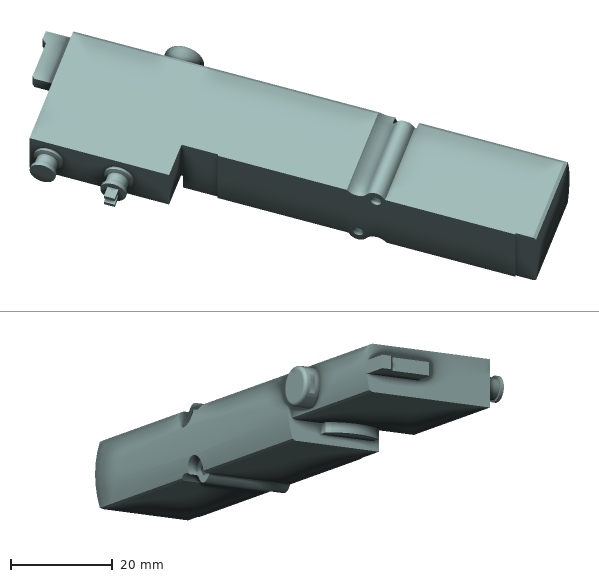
import cadquery as cq
import math

length = 108.5
body_left = 35.3
body_height = 14.0
mid_z = body_height / 2
body_back = 21.4
body_back_edge = 20.3
edge_depth = 0.3
edge_width = 0.7
end_step_depth = 0.3
left_step_end = 42.5
right_step_start = 104.3

lug_x = 75.3
groove_x = 71.6
lug_radius = 2.0
height_over_lugs = 16.7
lug_height = (height_over_lugs - body_height) / 2
groove_depth = 1.0
groove_lip_x = 69.3
screw_hole_dia = 2.3
screw_z = 12.8
screw_head_dia = 5.3
screw_seat_y = 18.7

block_left = 6.0
block_right = 34.9
block_bottom = 4.2
block_front = -7.5
block_back = 20.9
axis_z = (block_bottom + body_height) / 2

connector_x = (10.0, 24.6)
flange_dia = 6.1
flange_length = 0.5
cone_length = 0.3
neck_dia = 4.5
cap_dia = 5.3
cap_start = -10.7
cap_end = -11.5
pin_width = 2.3
pin_thickness = 0.8
pin_spacing = 2.0
pin_end = -13.9

button_x = 27.9
button_dia = 8.1
button_end = 24.3
button_rounding = 0.8
notch_front = 21.9
notch_length = 1.1
notch_offset = 3.6

tab_thickness = 2.7
tab_inner_x = 1.0
tab_front = 9.1
tab_nose_y = 19.0
tab_nose_root_y = 18.0
tab_corner = 0.5

latch_front = 1.6
latch_back = 13.9
latch_bottom = 2.0
latch_top = 4.0
latch_tip_x = 31.4
latch_side_x = 33.2
latch_corner = 0.9
latch_shoulder_x = 32.7


def box(x0, x1, y0, y1, z0, z1):
    return cq.Workplane("XY").box(x1 - x0, y1 - y0, z1 - z0, centered=False).translate((x0, y0, z0))


def rod(x, z, y0, y1, diameter):
    """Cylinder along Y between y0 and y1."""
    return cq.Workplane("XZ", origin=(x, y0, z)).circle(diameter / 2).extrude(y0 - y1)


def crowned_bar(x0, x1, y_front, y_edge, y_crown, z0, z1):
    """Bar along X whose back face bulges from y_edge to y_crown, with bevelled back edges."""
    bevel_y = y_edge - edge_width
    return (
        cq.Workplane("YZ", origin=(x0, 0, 0))
        .moveTo(y_front, z0)
        .lineTo(bevel_y, z0)
        .lineTo(y_edge, z0 + edge_depth)
        .threePointArc((y_crown, (z0 + z1) / 2), (y_edge, z1 - edge_depth))
        .lineTo(bevel_y, z1)
        .lineTo(y_front, z1)
        .close()
        .extrude(x1 - x0)
    )


def half_turn(shape):
    """Turn a shape half a turn about the Y-parallel axis midway between lug and groove."""
    centre_x = (lug_x + groove_x) / 2
    return shape.rotate((centre_x, 0, mid_z), (centre_x, 1, mid_z), 180)


lug_z = body_height + lug_height - lug_radius
groove_z = body_height - groove_depth + lug_radius
span_x = lug_x - groove_x
span_z = groove_z - lug_z
flank_normal = math.atan2(span_z, span_x) + math.acos(2 * lug_radius / math.hypot(span_x, span_z))
tangent_x = lug_radius * math.cos(flank_normal)
tangent_z = lug_radius * math.sin(flank_normal)
lug_foot_x = lug_x + (lug_radius + (lug_z - body_height) * math.sin(flank_normal)) / math.cos(flank_normal)


def lug_bar():
    """Lug rounded on top, reaching down into the body."""
    return (
        cq.Workplane("XZ")
        .moveTo(groove_x + tangent_x, groove_z - tangent_z)
        .lineTo(lug_x - tangent_x, lug_z + tangent_z)
        .threePointArc((lug_x, lug_z + lug_radius), (lug_x + tangent_x, lug_z + tangent_z))
        .lineTo(lug_foot_x, body_height)
        .lineTo(lug_foot_x, groove_z - tangent_z)
        .close()
        .extrude(-body_back)
    )


def groove_cut():
    """Shallow hollow: one arc from its lip to the foot of the lug's flank."""
    return (
        cq.Workplane("XZ")
        .moveTo(groove_lip_x, body_height)
        .threePointArc((groove_x, groove_z - lug_radius), (groove_x + tangent_x, groove_z - tangent_z))
        .lineTo(lug_x - tangent_x, lug_z + tangent_z)
        .lineTo(groove_lip_x, lug_z + tangent_z)
        .close()
        .extrude(-body_back)
    )


def screw_cut():
    """Screw hole with a head pocket that opens at the back of the lug."""
    hole = rod(lug_x, screw_z, 0, body_back, screw_hole_dia)
    return hole.union(rod(lug_x, screw_z, screw_seat_y, body_back, screw_head_dia))


def valve_body():
    """Long body with bevelled edges, stepped ends, and a lug and a groove above and below."""
    body = crowned_bar(body_left, length, 0, body_back_edge, body_back, 0, body_height)
    end_bevel = (
        cq.Workplane("XZ")
        .moveTo(length - edge_width, body_height)
        .lineTo(length, body_height)
        .lineTo(length, body_height - edge_depth)
        .close()
        .extrude(-body_back)
    )
    body = body.cut(end_bevel).cut(end_bevel.mirror("XY", (0, 0, mid_z)))
    for x0, x1 in ((body_left, left_step_end), (right_step_start, length)):
        body = body.cut(box(x0, x1, 0, end_step_depth, 0, body_height))
    groove = groove_cut()
    lug = lug_bar()
    screw = screw_cut()
    body = body.cut(groove).cut(half_turn(groove))
    body = body.union(lug).union(half_turn(lug))
    return body.cut(screw).cut(half_turn(screw))


def solenoid_block():
    """Block that reaches forward of the body and stops just short of it at the front."""
    block = crowned_bar(
        block_left, body_left, block_front, body_back_edge, block_back, block_bottom, body_height
    )
    return block.cut(box(block_right, body_left, block_front, end_step_depth, block_bottom, body_height))


def connector(x):
    """Flange tapering to a neck with an end cap."""
    flange_end = block_front - flange_length
    cone = (
        cq.Workplane("XZ", origin=(x, flange_end, axis_z))
        .circle(flange_dia / 2)
        .workplane(offset=cone_length)
        .circle(neck_dia / 2)
        .loft()
    )
    return (
        rod(x, axis_z, flange_end, block_front, flange_dia)
        .union(cone)
        .union(rod(x, axis_z, cap_start, flange_end, neck_dia))
        .union(rod(x, axis_z, cap_end, cap_start, cap_dia))
    )


def contact_pins(x):
    """Two flat pins, one above the other, on the connector's end cap."""
    pins = cq.Workplane("XY")
    for side in (-1, 1):
        pin_z = axis_z + side * pin_spacing / 2
        pins = pins.union(
            box(
                x - pin_width / 2, x + pin_width / 2, pin_end, cap_end,
                pin_z - pin_thickness / 2, pin_z + pin_thickness / 2,
            )
        )
    return pins


def override_button():
    """Round button with a rounded rim and a flat notch on each side."""
    button = rod(button_x, axis_z, body_back_edge - edge_width, button_end, button_dia)
    button = button.faces(">Y").edges().fillet(button_rounding)
    half = button_dia / 2
    for side in (-1, 1):
        notch = cq.Workplane("XY").box(half, notch_length, button_dia).translate(
            (button_x + side * (notch_offset + half / 2), notch_front + notch_length / 2, axis_z)
        )
        button = button.cut(notch)
    return button


def contact_tab():
    """Flat tab with a nose at its back end."""
    return (
        cq.Workplane("XY", origin=(0, 0, axis_z - tab_thickness / 2))
        .moveTo(block_left, tab_front)
        .lineTo(tab_inner_x + tab_corner, tab_front)
        .lineTo(tab_inner_x, tab_front + tab_corner)
        .lineTo(tab_inner_x, tab_nose_root_y)
        .lineTo(0, tab_nose_y)
        .lineTo(0, block_back)
        .lineTo(block_left, block_back)
        .close()
        .extrude(tab_thickness)
    )


def latch():
    """Plate with a bowed left side between two cut corners."""
    mid_y = (latch_front + latch_back) / 2
    return (
        cq.Workplane("XY", origin=(0, 0, latch_bottom))
        .moveTo(body_left, latch_front)
        .lineTo(latch_side_x, latch_front)
        .lineTo(latch_shoulder_x, latch_front + latch_corner)
        .threePointArc((latch_tip_x, mid_y), (latch_shoulder_x, latch_back - latch_corner))
        .lineTo(latch_side_x, latch_back)
        .lineTo(body_left, latch_back)
        .close()
        .extrude(latch_top - latch_bottom)
    )


result = valve_body().union(solenoid_block()).union(contact_tab()).union(latch()).union(override_button())
for x in connector_x:
    result = result.union(connector(x))
result = result.union(contact_pins(connector_x[1]))